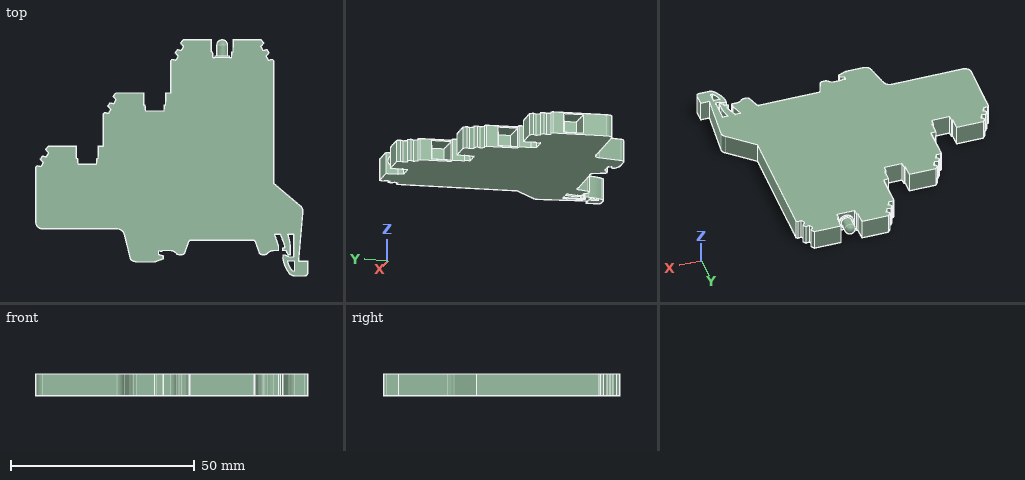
import cadquery as cq
import math

length = 74.3
height = 64.51
thickness = 6.0

tier_count = 3
tier_run = 18.42
tier_rise = 14.52
first_tier_top = height - (tier_count - 1) * tier_rise
top_tier_left = (tier_count - 1) * tier_run

tooth_run = 1.45
tooth_rise = 2.65
tooth_count = 2
tooth_tip = (0.4, -5.35)
tooth_lip = (1.45, -5.58)
tooth_hollow = (2.05, -4.5)
tooth_point = (1.25, -3.58)
top_edge_start = 3.45
tier_wall_top = -5.75

slot_centre = 14.08
slot_depth = 4.9
slot_shoulder_depth = 3.35
slot_mouth_half = 2.98
slot_neck_half = 2.93
slot_shoulder_half = 2.6
slot_floor_half = 2.5

funnel_mouth_y = 5.56
funnel_mouth_z = 5.2
funnel_end_y = 3.35
funnel_end_z = 3.0
funnel_depth = 4.1
funnel_centre_below_top = 11.75
lowest_funnel_lift = 0.2

lamp_radius = 1.5
lamp_flange_radius = 2.0
lamp_flange_height = 0.5
lamp_x = top_tier_left + slot_centre
lamp_base_y = height - slot_depth

base_y = 12.85
base_corner_radius = 1.85
rail_seat_y = 9.75
rail_lip_y = 6.9
rail_rib_y = 5.8
left_foot_y = 3.8
right_wall_x = top_tier_left + 2 * slot_centre
shoulder_y = 25.3

flexure_top_y = 11.35
leg_inner_x = 70.42
leg_outer_x = 71.8
tab_top_y = 4.05
tab_corner = 0.85


def tooth_points(step):
    """Points of one marker tooth: tip, lip, hollow and point."""
    shift_x = step * tooth_run
    shift_y = step * tooth_rise
    corners = (tooth_tip, tooth_lip, tooth_hollow, tooth_point)
    return [(x + shift_x, y + shift_y) for x, y in corners]


def add_teeth_up(outline, left, top):
    """Climb the teeth on the left of a tier, from its wall to its top face."""
    outline = outline.lineTo(left, top + tier_wall_top)
    for step in range(tooth_count):
        tip, lip, hollow, point = [(left + x, top + y) for x, y in tooth_points(step)]
        outline = outline.lineTo(*tip).lineTo(*lip).lineTo(*hollow).lineTo(*point)
    return outline.lineTo(left + top_edge_start, top)


def add_teeth_down(outline, right, top):
    """Descend the mirrored teeth on the right of the top tier."""
    outline = outline.lineTo(right - top_edge_start, top)
    for step in reversed(range(tooth_count)):
        tip, lip, hollow, point = [(right - x, top + y) for x, y in tooth_points(step)]
        outline = outline.lineTo(*point).lineTo(*hollow).lineTo(*lip).lineTo(*tip)
    return outline.lineTo(right, top + tier_wall_top)


def add_slot(outline, centre, top):
    """Cross the stepped screwdriver slot from left to right."""
    left_side = [
        (-slot_mouth_half, 0),
        (-slot_neck_half, -slot_shoulder_depth),
        (-slot_shoulder_half, -slot_shoulder_depth),
        (-slot_floor_half, -slot_depth),
    ]
    right_side = [(-x, y) for x, y in reversed(left_side)]
    for x, y in left_side + right_side:
        outline = outline.lineTo(centre + x, top + y)
    return outline


def add_tiers(outline):
    """Tiers from the left wall to the upper end of the right wall."""
    for tier in range(tier_count):
        left = tier * tier_run
        top = first_tier_top + tier * tier_rise
        outline = add_teeth_up(outline, left, top)
        outline = add_slot(outline, left + slot_centre, top)
        if tier < tier_count - 1:
            outline = outline.lineTo(left + tier_run, top)
    return add_teeth_down(outline, right_wall_x, height)


def add_snap_foot(outline):
    """Right shoulder, leg with its tab, hook and flexible tongue, ending at the rail lip."""
    return (
        outline.lineTo(right_wall_x, shoulder_y)
        .lineTo(72.2, 19.2)
        .threePointArc((72.8, 18.5), (72.97, 17.5))
        .lineTo(leg_outer_x, tab_top_y)
        .lineTo(length, tab_top_y)
        .lineTo(length, tab_corner)
        .threePointArc(
            (length - tab_corner * (1 - math.sqrt(0.5)), tab_corner * (1 - math.sqrt(0.5))),
            (length - tab_corner, 0),
        )
        .lineTo(70.6, 0)
        .threePointArc((69.85, 0.2), (69.2, 0.75))
        .threePointArc((68.05, 2.7), (67.45, 4.9))
        .lineTo(67.5, 5.75)
        .lineTo(68.1, 5.75)
        .lineTo(69.3, 5.2)
        .lineTo(leg_inner_x, 5.2)
        .lineTo(leg_inner_x, flexure_top_y)
        .lineTo(68.85, flexure_top_y)
        .threePointArc((69.4, 9.3), (69.55, 7.9))
        .lineTo(69.55, rail_rib_y)
        .lineTo(68.9, rail_rib_y)
        .lineTo(68.3, rail_lip_y)
        .lineTo(67.45, rail_lip_y)
        .lineTo(67.45, 7.65)
        .lineTo(67.95, 7.75)
        .lineTo(67.9, 8.5)
        .lineTo(66.8, flexure_top_y)
        .lineTo(65.25, flexure_top_y)
        .lineTo(66.35, 8.1)
        .lineTo(66.35, rail_lip_y)
    )


def add_rail_seat(outline):
    """Seat for the mounting rail between two ribs, and the fixed catch on the left foot."""
    return (
        outline.lineTo(64.9, rail_lip_y)
        .threePointArc((64.0, 6.7), (63.3, 6.15))
        .threePointArc((62.9, 5.88), (62.4, rail_rib_y))
        .lineTo(62.0, rail_rib_y)
        .threePointArc((61.3, 6.0), (60.95, 6.55))
        .lineTo(59.9, 9.5)
        .lineTo(59.6, rail_seat_y)
        .lineTo(42.2, rail_seat_y)
        .lineTo(41.85, 9.5)
        .lineTo(40.8, 6.55)
        .threePointArc((40.45, 6.0), (39.8, rail_rib_y))
        .lineTo(39.15, rail_rib_y)
        .threePointArc((38.75, 5.88), (38.4, 6.15))
        .threePointArc((37.75, 6.7), (36.85, rail_lip_y))
        .lineTo(34.7, rail_lip_y)
        .lineTo(34.3, 6.7)
        .lineTo(33.55, 6.85)
        .lineTo(33.55, 5.9)
        .lineTo(34.85, 5.5)
        .lineTo(34.85, 4.7)
        .lineTo(33.05, 4.0)
        .lineTo(32.5, left_foot_y)
    )


def add_left_foot(outline):
    """Left foot and the underside, back to the left wall."""
    corner_offset = base_corner_radius * (1 - math.sqrt(0.5))
    return (
        outline.lineTo(27.5, left_foot_y)
        .lineTo(26.65, 4.05)
        .threePointArc((26.05, 4.4), (25.75, 5.0))
        .lineTo(24.2, 11.3)
        .threePointArc((23.5, 12.4), (22.2, base_y))
        .lineTo(base_corner_radius, base_y)
        .threePointArc(
            (corner_offset, base_y + corner_offset),
            (0, base_y + base_corner_radius),
        )
        .close()
    )


def make_hook_window():
    """Through window inside the hook of the snap foot."""
    return (
        cq.Workplane("XY")
        .moveTo(68.8, tab_top_y)
        .lineTo(70.6, tab_top_y)
        .lineTo(70.6, 1.4)
        .lineTo(70.1, 1.4)
        .threePointArc((69.25, 2.7), (68.8, tab_top_y))
        .close()
        .extrude(thickness)
    )


def make_funnel(left, top):
    """Tapered wire entry that narrows going into a tier."""
    return (
        cq.Workplane("YZ", origin=(left, top - funnel_centre_below_top, thickness / 2))
        .rect(funnel_mouth_y, funnel_mouth_z)
        .workplane(offset=funnel_depth)
        .rect(funnel_end_y, funnel_end_z)
        .loft()
    )


def make_housing():
    outline = cq.Workplane("XY").moveTo(0, base_y + base_corner_radius)
    outline = add_tiers(outline)
    outline = add_snap_foot(outline)
    outline = add_rail_seat(outline)
    outline = add_left_foot(outline)
    body = outline.extrude(thickness).cut(make_hook_window())
    for tier in range(tier_count):
        lift = lowest_funnel_lift if tier == 0 else 0
        top = first_tier_top + tier * tier_rise
        body = body.cut(make_funnel(tier * tier_run, top + lift))
    return body


def make_lamp():
    """Round lamp with a base flange and a domed end, pointing along +Y."""
    lamp_height = height - lamp_base_y
    dome_start = lamp_height - lamp_radius
    dome_offset = lamp_radius * math.sqrt(0.5)
    return (
        cq.Workplane("ZY", origin=(lamp_x, lamp_base_y, thickness / 2))
        .lineTo(lamp_flange_radius, 0)
        .lineTo(lamp_flange_radius, lamp_flange_height)
        .lineTo(lamp_radius, lamp_flange_height)
        .lineTo(lamp_radius, dome_start)
        .threePointArc((dome_offset, dome_start + dome_offset), (0, lamp_height))
        .close()
        .revolve(360, (0, 0, 0), (0, 1, 0))
    )


housing = make_housing()
lamp = make_lamp()

result = cq.Compound.makeCompound([housing.val(), lamp.val()])